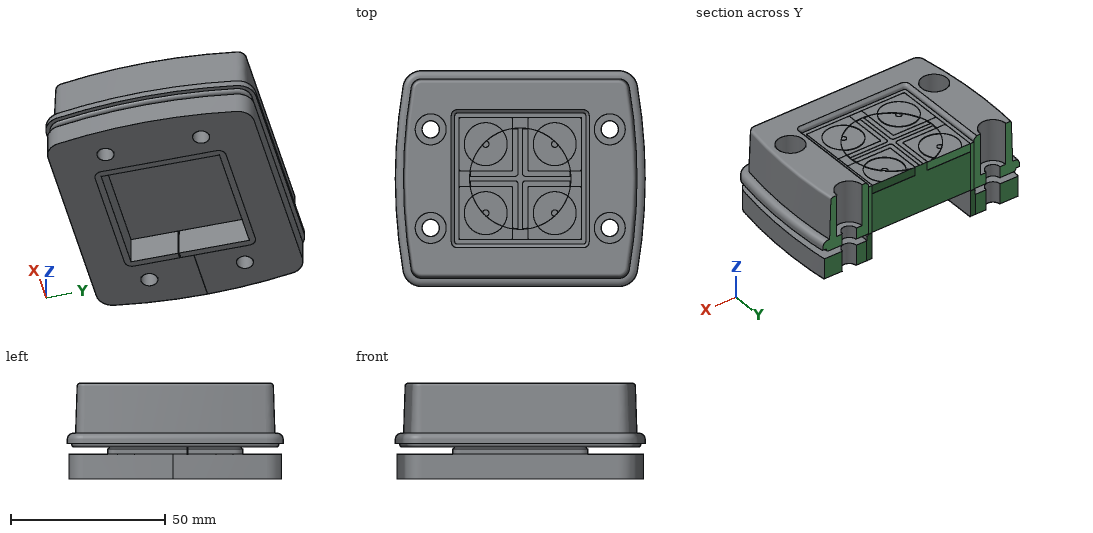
import cadquery as cq
import math

LENGTH = 81.1
WIDTH = 70.05
STRAIGHT_HALF = 31.95
CORNER_RADIUS = 6.2

TOP_Z = 31.1
OUTER_SEAL_HEIGHT = 8.1
HOUSING_BOTTOM_Z = 10.4
RIM_BOTTOM_Z = 11.5
RIM_TOP_Z = 14.9
PANEL_TOP_Z = 29.1

RIM_FILLET = 2.0
LIP_INSET = 1.4
LIP_FILLET = 1.05
BODY_INSET = 2.7
BODY_DRAFT = 1.9
TOP_FILLET = 1.0
WINDOW_SIZE = 42.5
WINDOW_CORNER_RADIUS = 0.8
WINDOW_CHAMFER = 1.1
WINDOW_BLEND_RADIUS = 1.0

SCREW_X = 29.0
SCREW_Y = 16.0
SCREW_DIAMETER = 5.5
HEAD_DIAMETER = 10.05
HEAD_DEPTH = 16.2

OUTER_SEAL_INSET = 0.6
OUTER_JOINT_Y = 0.7
OUTER_JOINT_GAP = 0.1
INNER_SEAL_SIZE = 43.8
INNER_SEAL_CORNER_RADIUS = 2.6
INNER_JOINT_Y = -3.9
INNER_JOINT_GAP = 0.3

PANEL_SIZE = 39.6
KEY_SIZE = 17.3
KEY_CORNER_RADIUS = 0.4
KEY_THICKNESS = 3.25
ENGRAVING_DEPTH = 0.1
DIAL_RADIUS = 16.45
QUARTER_RADIUS = 16.2
QUARTER_GAP = 1.45
QUARTER_CORNER_RADIUS = 1.0
SPOT_DIAMETER = 13.95
SPOT_OFFSET = 11.2
LENS_DEPTH = 0.3
PIN_HOLE_DIAMETER = 2.1
PIN_HOLE_DEPTH = 0.1

KEY_OFFSET = (PANEL_SIZE - KEY_SIZE) / 2
KEY_BOTTOM_Z = PANEL_TOP_Z - KEY_THICKNESS
ENGRAVED_Z = PANEL_TOP_Z - ENGRAVING_DEPTH
LENS_Z = PANEL_TOP_Z - LENS_DEPTH
QUADRANTS = [(1, 1), (-1, 1), (-1, -1), (1, -1)]
SCREW_POINTS = [(sx * SCREW_X, sy * SCREW_Y) for sx, sy in QUADRANTS]


def side_angle():
    """Tilt in radians of the side arc where it runs tangent into a corner arc."""
    rise = WIDTH / 2 - CORNER_RADIUS
    run = LENGTH / 2 - STRAIGHT_HALF - CORNER_RADIUS
    return 2 * math.atan(run / rise)


def bulged_outline(inset, z):
    """Outline with straight long sides, round corners and arched short sides, at height z."""
    angle = side_angle()
    radius = CORNER_RADIUS - inset
    half_x = LENGTH / 2 - inset
    half_y = WIDTH / 2 - inset
    center_y = WIDTH / 2 - CORNER_RADIUS
    side_x = STRAIGHT_HALF + radius * math.cos(angle)
    side_y = center_y + radius * math.sin(angle)
    middle = (angle + math.pi / 2) / 2
    bend_x = STRAIGHT_HALF + radius * math.cos(middle)
    bend_y = center_y + radius * math.sin(middle)
    return (
        cq.Workplane("XY", origin=(0, 0, z))
        .moveTo(-STRAIGHT_HALF, half_y)
        .lineTo(STRAIGHT_HALF, half_y)
        .threePointArc((bend_x, bend_y), (side_x, side_y))
        .threePointArc((half_x, 0), (side_x, -side_y))
        .threePointArc((bend_x, -bend_y), (STRAIGHT_HALF, -half_y))
        .lineTo(-STRAIGHT_HALF, -half_y)
        .threePointArc((-bend_x, -bend_y), (-side_x, -side_y))
        .threePointArc((-half_x, 0), (-side_x, side_y))
        .threePointArc((-bend_x, bend_y), (-STRAIGHT_HALF, half_y))
        .close()
    )


def square_block(size, bottom, top, corner_radius=0.0, center=(0, 0)):
    """Upright square block, with rounded upright edges if a corner radius is given."""
    block = (
        cq.Workplane("XY", origin=(center[0], center[1], bottom))
        .rect(size, size)
        .extrude(top - bottom)
    )
    if corner_radius:
        block = block.edges("|Z").fillet(corner_radius)
    return block


def cylinder(diameter, bottom, top, center=(0, 0)):
    return (
        cq.Workplane("XY", origin=(center[0], center[1], bottom))
        .circle(diameter / 2)
        .extrude(top - bottom)
    )


def screw_cutters(diameter, bottom, top):
    return (
        cq.Workplane("XY", origin=(0, 0, bottom))
        .pushPoints(SCREW_POINTS)
        .circle(diameter / 2)
        .extrude(top - bottom)
    )


def joint_cutter(y, gap, height):
    """Thin slot through the -X wall of a seal."""
    slot = cq.Workplane("XY").box(LENGTH / 2, gap, height, centered=(False, True, False))
    return slot.translate((-LENGTH / 2, y, 0))


def make_housing():
    lip = bulged_outline(LIP_INSET, HOUSING_BOTTOM_Z).extrude(RIM_BOTTOM_Z - HOUSING_BOTTOM_Z)
    lip = lip.faces("<Z").edges().fillet(LIP_FILLET)
    rim = bulged_outline(0, RIM_BOTTOM_Z).extrude(RIM_TOP_Z - RIM_BOTTOM_Z)
    rim = rim.faces(">Z").edges().fillet(RIM_FILLET)
    body = bulged_outline(BODY_INSET, RIM_TOP_Z).extrude(TOP_Z - RIM_TOP_Z, taper=BODY_DRAFT)
    body = body.faces(">Z").edges().fillet(TOP_FILLET)
    housing = rim.union(lip).union(body)
    housing = add_window(housing)
    housing = housing.cut(screw_cutters(SCREW_DIAMETER, HOUSING_BOTTOM_Z, TOP_Z))
    return housing.cut(screw_cutters(HEAD_DIAMETER, TOP_Z - HEAD_DEPTH, TOP_Z))


def add_window(housing):
    """Square opening that flares out at the top, with a round blend below the flare."""
    housing = housing.cut(square_block(WINDOW_SIZE, HOUSING_BOTTOM_Z, TOP_Z, WINDOW_CORNER_RADIUS))
    housing = housing.edges(window_edges_at(TOP_Z)).chamfer(WINDOW_CHAMFER)
    return housing.edges(window_edges_at(TOP_Z - WINDOW_CHAMFER)).fillet(WINDOW_BLEND_RADIUS)


def window_edges_at(z):
    """Selector for the ring of window edges at height z."""
    reach = WINDOW_SIZE / 2 + WINDOW_CHAMFER
    margin = 0.1
    return cq.selectors.BoxSelector((-reach, -reach, z - margin), (reach, reach, z + margin))


def make_outer_seal():
    seal = bulged_outline(OUTER_SEAL_INSET, 0).extrude(OUTER_SEAL_HEIGHT)
    seal = seal.cut(square_block(INNER_SEAL_SIZE, 0, OUTER_SEAL_HEIGHT, INNER_SEAL_CORNER_RADIUS))
    seal = seal.cut(screw_cutters(SCREW_DIAMETER, 0, OUTER_SEAL_HEIGHT))
    return seal.cut(joint_cutter(OUTER_JOINT_Y, OUTER_JOINT_GAP, OUTER_SEAL_HEIGHT))


def make_inner_seal():
    chamfer = (INNER_SEAL_SIZE - WINDOW_SIZE) / 2
    seal = square_block(INNER_SEAL_SIZE, 0, HOUSING_BOTTOM_Z, INNER_SEAL_CORNER_RADIUS)
    seal = seal.faces(">Z").edges().chamfer(chamfer)
    seal = seal.cut(square_block(PANEL_SIZE, 0, HOUSING_BOTTOM_Z))
    return seal.cut(joint_cutter(INNER_JOINT_Y, INNER_JOINT_GAP, HOUSING_BOTTOM_Z))


def make_frame():
    frame = square_block(WINDOW_SIZE, HOUSING_BOTTOM_Z, PANEL_TOP_Z, WINDOW_CORNER_RADIUS)
    return frame.cut(square_block(PANEL_SIZE, HOUSING_BOTTOM_Z, PANEL_TOP_Z))


def make_key_blank(sx, sy):
    center = (sx * KEY_OFFSET, sy * KEY_OFFSET)
    return square_block(KEY_SIZE, KEY_BOTTOM_Z, PANEL_TOP_Z, KEY_CORNER_RADIUS, center)


def make_quarter(sx, sy):
    """Quarter disc standing in the engraved circle, rounded at its inner corner."""
    offset = QUARTER_GAP / 2 + DIAL_RADIUS
    center = (sx * offset, sy * offset)
    corner = square_block(2 * DIAL_RADIUS, ENGRAVED_Z, PANEL_TOP_Z, QUARTER_CORNER_RADIUS, center)
    return corner.intersect(cylinder(2 * QUARTER_RADIUS, ENGRAVED_Z, PANEL_TOP_Z))


def make_panel():
    panel = square_block(PANEL_SIZE, HOUSING_BOTTOM_Z, PANEL_TOP_Z)
    engraving = cylinder(2 * DIAL_RADIUS, ENGRAVED_Z, PANEL_TOP_Z)
    for sx, sy in QUADRANTS:
        engraving = engraving.cut(make_quarter(sx, sy))
    panel = panel.cut(engraving)
    for sx, sy in QUADRANTS:
        panel = panel.cut(make_key_blank(sx, sy))
    return panel


def make_key(sx, sy):
    """Key engraved with its spot and the large circle, recessed where the two overlap."""
    spot_center = (sx * SPOT_OFFSET, sy * SPOT_OFFSET)
    hole_bottom = LENS_Z - PIN_HOLE_DEPTH
    spot = cylinder(SPOT_DIAMETER, LENS_Z, PANEL_TOP_Z, spot_center)
    lens = spot.intersect(cylinder(2 * DIAL_RADIUS, LENS_Z, PANEL_TOP_Z))
    pin_hole = cylinder(PIN_HOLE_DIAMETER, hole_bottom, LENS_Z, spot_center)
    pin_hole = pin_hole.intersect(cylinder(2 * DIAL_RADIUS, hole_bottom, LENS_Z))
    key = make_key_blank(sx, sy)
    key = key.cut(cylinder(SPOT_DIAMETER, ENGRAVED_Z, PANEL_TOP_Z, spot_center))
    key = key.cut(cylinder(2 * DIAL_RADIUS, ENGRAVED_Z, PANEL_TOP_Z))
    return key.cut(lens).cut(pin_hole)


housing = make_housing()
outer_seal = make_outer_seal()
inner_seal = make_inner_seal()
frame = make_frame()
panel = make_panel()
keys = [make_key(sx, sy) for sx, sy in QUADRANTS]

result = cq.Compound.makeCompound(
    [
        housing.val(),
        outer_seal.val(),
        inner_seal.val(),
        frame.val(),
        panel.val(),
        *[key.val() for key in keys],
    ]
)